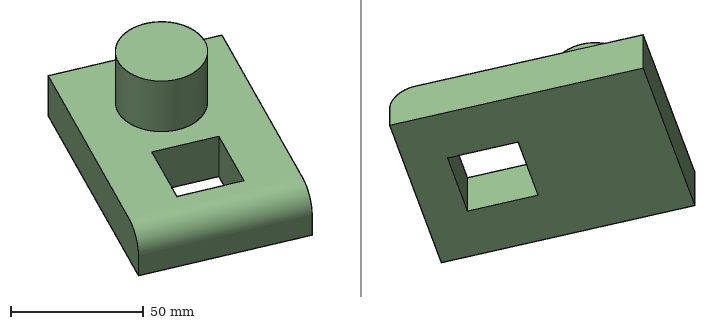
import cadquery as cq

plate_length = 100.0
plate_width = 70.0
plate_thickness = 20.0
end_radius = 10.0

boss_diameter = 35.0
boss_height = 25.0
boss_x = 29.2

window_length = 27.8
window_width = 27.0
window_x = 69.5

center_y = plate_width / 2


def make_plate():
    """Plate with its upper +X edge rounded."""
    plate = cq.Workplane("XY").box(plate_length, plate_width, plate_thickness, centered=False)
    return plate.faces(">X").edges(">Z").fillet(end_radius)


def make_boss():
    """Cylinder standing on the top face of the plate."""
    return (
        cq.Workplane("XY", origin=(boss_x, center_y, plate_thickness))
        .circle(boss_diameter / 2)
        .extrude(boss_height)
    )


def make_window():
    """Block that cuts the window through the full plate thickness."""
    return (
        cq.Workplane("XY", origin=(window_x, center_y, 0))
        .rect(window_length, window_width)
        .extrude(plate_thickness)
    )


result = make_plate().union(make_boss()).cut(make_window())